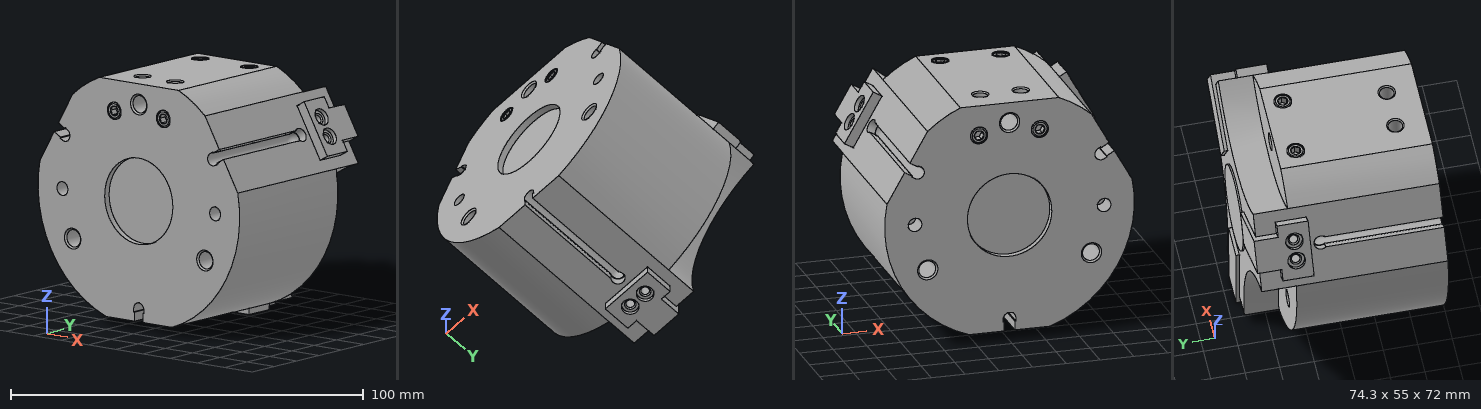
import cadquery as cq
import math

body_radius = 37.0
body_length = 44.0
arm_end = 54.0
jaw_flat = 35.0
top_flat = 34.0
scallop_radius = 37.0
jaw_count = 3
jaw_step = 360.0 / jaw_count

hub_diameter = 25.0
hub_height = 0.5
recess_depth = 2.0

bolt_circle = 28.0
bolt_hole_diameter = 5.0
bolt_chamfer = 0.5
dowel_diameter = 4.0
dowel_depth = 6.0

tap_diameter = 4.13
tap_mouth = 4.92
tap_depth = 10.0
drill_point_angle = 118.0
countersink_half_angle = 45.0
top_tap_x = 6.0
top_tap_y = 9.0
plug_x = 9.0
top_plug_y = 38.5
front_plug_z = 25.0
plug_diameter = 5.0
plug_face_diameter = 4.13
plug_length = 5.0
hex_across_flats = 2.5
hex_depth = 2.5

slot_mouth = 3.1
slot_width = 3.7
slot_neck_depth = 2.75
slot_depth = 5.55
slot_entry_y = 35.6
slot_entry_diameter = 4.0

jaw_face = 38.0
jaw_inner_radius = 15.8
jaw_width = 17.0
jaw_neck_width = 10.0
jaw_start = 39.0
jaw_shoulder = 48.0
jaw_end = 55.0
jaw_hole_spacing = 6.0
jaw_counterbore_diameter = 5.0
jaw_counterbore_depth = 1.3
jaw_tap_diameter = 2.46
jaw_tap_mouth = 3.24
jaw_tap_depth = 6.0

INTO_BODY = (0, 1, 0)
DOWN = (0, 0, -1)
UP = (0, 0, 1)


def cylinder(diameter, length, start, direction):
    solid = cq.Solid.makeCylinder(diameter / 2, length, cq.Vector(*start), cq.Vector(*direction))
    return cq.Workplane(obj=solid)


def box(x_size, y_range, z_range):
    """Box centred on x = 0 that spans the given y and z ranges."""
    size_y = y_range[1] - y_range[0]
    size_z = z_range[1] - z_range[0]
    return (cq.Workplane().box(x_size, size_y, size_z, centered=(True, False, False))
            .translate((0, y_range[0], z_range[0])))


def cone(mouth, tip, length, start, direction):
    solid = cq.Solid.makeCone(mouth / 2, tip / 2, length, cq.Vector(*start), cq.Vector(*direction))
    return cq.Workplane(obj=solid)


def around_axis(shape, index):
    """Copy of a shape made at the bottom (-Z), turned to the given jaw position."""
    return shape.rotate((0, 0, 0), (0, 1, 0), index * jaw_step)


def along(start, direction, distance):
    return tuple(s + d * distance for s, d in zip(start, direction))


def countersink_depth(mouth_diameter, diameter):
    return (mouth_diameter - diameter) / 2 / math.tan(math.radians(countersink_half_angle))


def tapped_hole(diameter, mouth_diameter, depth, start, direction):
    """Blind hole with a countersunk mouth and a drill point."""
    mouth_depth = countersink_depth(mouth_diameter, diameter)
    point_length = diameter / 2 / math.tan(math.radians(drill_point_angle / 2))
    hole = cylinder(diameter, depth, start, direction)
    mouth = cone(mouth_diameter, diameter, mouth_depth, start, direction)
    point = cone(diameter, 0, point_length, along(start, direction, depth), direction)
    return hole.union(mouth).union(point)


def plug_hole(start, direction):
    return cylinder(plug_diameter, plug_length, start, direction)


def plug_screw(start, direction):
    """Headless screw with a chamfered rim and a hexagon socket, flush with the face around it."""
    rim = (plug_diameter - plug_face_diameter) / 2
    shank = cylinder(plug_diameter, plug_length - rim, along(start, direction, rim), direction)
    tip = cone(plug_face_diameter, plug_diameter, rim, start, direction)
    socket_plane = cq.Plane(origin=start, xDir=(1, 0, 0), normal=direction)
    corner_diameter = hex_across_flats / math.cos(math.pi / 6)
    socket = cq.Workplane(socket_plane).polygon(6, corner_diameter).extrude(hex_depth)
    mouth_depth = countersink_depth(corner_diameter, hex_across_flats)
    countersink = cone(corner_diameter, hex_across_flats, mouth_depth, start, direction)
    return shank.union(tip).cut(socket).cut(countersink)


def arm_profile():
    """Outline of the arms: three jaw flats joined by hollow arcs."""
    flat_half_width = math.sqrt(body_radius ** 2 - jaw_flat ** 2)
    half_angle = math.radians(jaw_step / 2) - math.atan(flat_half_width / jaw_flat)
    half_chord = body_radius * math.sin(half_angle)
    sagitta = scallop_radius - math.sqrt(scallop_radius ** 2 - half_chord ** 2)
    hollow_bottom = body_radius * math.cos(half_angle) - sagitta

    def polar(radius, angle):
        return (radius * math.cos(angle), radius * math.sin(angle))

    first_hollow = math.pi / 2
    outline = cq.Workplane("XZ").moveTo(*polar(body_radius, first_hollow - half_angle))
    for i in range(jaw_count):
        middle = first_hollow + i * math.radians(jaw_step)
        next_edge = middle + math.radians(jaw_step) - half_angle
        outline = outline.threePointArc(polar(hollow_bottom, middle), polar(body_radius, middle + half_angle))
        if i < jaw_count - 1:
            outline = outline.lineTo(*polar(body_radius, next_edge))
    return outline.close()


def sensor_slot():
    """T-shaped slot with a round floor, ending in a round entry hole with a ball-shaped bottom."""
    slot_radius = slot_width / 2
    round_z = -jaw_flat + slot_depth - slot_radius
    neck_z = -jaw_flat + slot_neck_depth
    mouth = box(slot_mouth, (0, slot_entry_y), (-jaw_flat, round_z))
    channel = box(slot_width, (0, slot_entry_y), (neck_z, round_z))
    floor = cylinder(slot_width, slot_entry_y, (0, 0, round_z), INTO_BODY)
    entry = cylinder(slot_entry_diameter, slot_neck_depth, (0, slot_entry_y, -jaw_flat), UP)
    pocket = cylinder(slot_width, slot_depth - slot_radius, (0, slot_entry_y, -jaw_flat), UP)
    ball = cq.Workplane().sphere(slot_radius).translate((0, slot_entry_y, round_z))
    return mouth.union(channel).union(floor).union(entry).union(pocket).union(ball)


def jaw_block():
    """T-section bar running radially; it fills its guide in the housing and is the jaw's blank."""
    radial_range = (-jaw_face, -jaw_inner_radius)
    flange = box(jaw_width, (jaw_start, jaw_shoulder), radial_range)
    neck = box(jaw_neck_width, (jaw_shoulder, jaw_end), radial_range)
    return flange.union(neck)


def bolt_hole():
    mouth = bolt_hole_diameter + 2 * bolt_chamfer
    hole = cylinder(bolt_hole_diameter, body_length, (0, 0, bolt_circle), INTO_BODY)
    return hole.union(cone(mouth, bolt_hole_diameter, bolt_chamfer, (0, 0, bolt_circle), INTO_BODY))


plug_seats = []
for side in (-1, 1):
    plug_seats.append(((side * plug_x, 0, front_plug_z), INTO_BODY))
    plug_seats.append(((side * plug_x, top_plug_y, top_flat), DOWN))

housing = cylinder(2 * body_radius, body_length, (0, 0, 0), INTO_BODY)
housing = housing.cut(box(2 * body_radius, (0, body_length), (top_flat, body_radius)))
for i in range(jaw_count):
    jaw_flat_cut = box(2 * body_radius, (0, body_length), (-body_radius, -jaw_flat))
    housing = housing.cut(around_axis(jaw_flat_cut, i))

arms = arm_profile().extrude(body_length - arm_end).translate((0, body_length, 0))
housing = housing.union(arms)
for i in range(jaw_count):
    for cutter in (sensor_slot(), bolt_hole(), jaw_block()):
        housing = housing.cut(around_axis(cutter, i))

housing = housing.union(cylinder(hub_diameter, hub_height, (0, arm_end, 0), INTO_BODY))
housing = housing.cut(cylinder(hub_diameter, recess_depth, (0, 0, 0), INTO_BODY))
for side in (-1, 1):
    housing = housing.cut(cylinder(dowel_diameter, dowel_depth, (side * bolt_circle, 0, 0), INTO_BODY))
    tap_start = (side * top_tap_x, top_tap_y, top_flat)
    housing = housing.cut(tapped_hole(tap_diameter, tap_mouth, tap_depth, tap_start, DOWN))
for seat in plug_seats:
    housing = housing.cut(plug_hole(*seat))


def make_jaw():
    """T-section jaw with two counterbored, tapped holes in its outer face."""
    jaw = jaw_block()
    for x in (-jaw_hole_spacing / 2, jaw_hole_spacing / 2):
        start = (x, (jaw_start + jaw_shoulder) / 2, -jaw_face)
        floor = along(start, UP, jaw_counterbore_depth)
        jaw = jaw.cut(cylinder(jaw_counterbore_diameter, jaw_counterbore_depth, start, UP))
        jaw = jaw.cut(tapped_hole(jaw_tap_diameter, jaw_tap_mouth, jaw_tap_depth, floor, UP))
    return jaw


jaws = [around_axis(make_jaw(), i) for i in range(jaw_count)]
plug_screws = [plug_screw(*seat) for seat in plug_seats]

result = cq.Compound.makeCompound(
    [housing.val()] + [jaw.val() for jaw in jaws] + [screw.val() for screw in plug_screws]
)